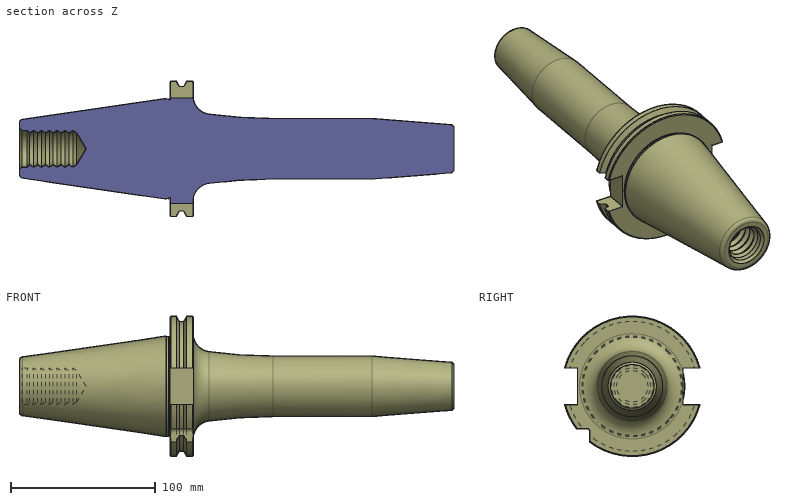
import cadquery as cq
import math

LENGTH = 301.5

GAUGE_X = 101.5
GAUGE_RADIUS = 35.0
TAPER_SLOPE = 3.5 / 24
END_ROUNDING = 2.7
LAND_RADIUS = 34.7
LAND_END = 103.5
RELIEF_RADIUS = 34.0
TAPER_END_RADIUS = GAUGE_RADIUS - GAUGE_X * TAPER_SLOPE

FLANGE_START = 104.7
FLANGE_END = 120.5
FLANGE_DIAMETER = 97.5
FLANGE_RADIUS = FLANGE_DIAMETER / 2
FLANGE_CHAMFER = 0.5
GROOVE_X = 112.5
GROOVE_DEPTH = 3.5
GROOVE_MOUTH = 7.2
GROOVE_FLOOR = GROOVE_MOUTH - 2 * GROOVE_DEPTH * math.tan(math.radians(30))

NECK_X = 131.5
NECK_RADIUS = 24.0
NECK_SLOPE = 7.5
SHANK_X = 175.8
SHANK_RADIUS = 21.0
NOSE_X = 244.5
NOSE_ANGLE = 4.5
NOSE_CHAMFER = 1.5
NOSE_END_RADIUS = SHANK_RADIUS - (LENGTH - NOSE_X) * math.tan(math.radians(NOSE_ANGLE))

SLOT_WIDTH = 25.3
SLOT_FLOOR_BACK = 35.3
SLOT_FLOOR_FRONT = 38.0
NOTCH_OFFSET = 29.5
NOTCH_FILLET = 1.5

BORE_MOUTH_RADIUS = 14.5
THREAD_ROOT_RADIUS = 12.7
THREAD_CREST_RADIUS = 11.0
BORE_CHAMFER = BORE_MOUTH_RADIUS - THREAD_ROOT_RADIUS
COUNTERBORE_DEPTH = 5.5
THREAD_START = COUNTERBORE_DEPTH + THREAD_ROOT_RADIUS - THREAD_CREST_RADIUS
THREAD_PITCH = 5.5
THREAD_TURNS = 6
DRILL_POINT_ANGLE = 118


def revolve_about_x(profile):
    return profile.close().revolve(360, (0, 0, 0), (1, 0, 0))


def make_body():
    flange_rim = FLANGE_RADIUS - FLANGE_CHAMFER
    groove_radius = FLANGE_RADIUS - GROOVE_DEPTH
    slope = math.radians(NECK_SLOPE)
    flare_radius = (NECK_X - FLANGE_END) / (1 - math.sin(slope))
    flare_center_x = FLANGE_END + flare_radius
    flare_center_radius = NECK_RADIUS + flare_radius * math.cos(slope)
    half_turn = (math.pi / 2 - slope) / 2
    flare_middle = (
        flare_center_x - flare_radius * math.cos(half_turn),
        flare_center_radius - flare_radius * math.sin(half_turn),
    )
    neck_direction = (math.cos(slope), -math.sin(slope))
    profile = (
        cq.Workplane("XY")
        .lineTo(0, TAPER_END_RADIUS)
        .lineTo(GAUGE_X, GAUGE_RADIUS)
        .lineTo(GAUGE_X + GAUGE_RADIUS - LAND_RADIUS, LAND_RADIUS)
        .lineTo(LAND_END, LAND_RADIUS)
        .lineTo(LAND_END + LAND_RADIUS - RELIEF_RADIUS, RELIEF_RADIUS)
        .lineTo(FLANGE_START, RELIEF_RADIUS)
        .lineTo(FLANGE_START, flange_rim)
        .lineTo(FLANGE_START + FLANGE_CHAMFER, FLANGE_RADIUS)
        .lineTo(GROOVE_X - GROOVE_MOUTH / 2, FLANGE_RADIUS)
        .lineTo(GROOVE_X - GROOVE_FLOOR / 2, groove_radius)
        .lineTo(GROOVE_X + GROOVE_FLOOR / 2, groove_radius)
        .lineTo(GROOVE_X + GROOVE_MOUTH / 2, FLANGE_RADIUS)
        .lineTo(FLANGE_END - FLANGE_CHAMFER, FLANGE_RADIUS)
        .lineTo(FLANGE_END, flange_rim)
        .lineTo(FLANGE_END, flare_center_radius)
        .threePointArc(flare_middle, (NECK_X, NECK_RADIUS))
        .spline([(SHANK_X, SHANK_RADIUS)], tangents=[neck_direction, (1, 0)], includeCurrent=True)
        .lineTo(NOSE_X, SHANK_RADIUS)
        .lineTo(LENGTH, NOSE_END_RADIUS)
        .lineTo(LENGTH, 0)
    )
    body = revolve_about_x(profile)
    body = body.faces("<X").edges().fillet(END_ROUNDING)
    return body.faces(">X").edges().chamfer(NOSE_CHAMFER)


def flange_block(y_start, y_end, z_start, z_end):
    """Box over the full flange thickness between the given Y and Z limits."""
    thickness = FLANGE_END - FLANGE_START
    block = cq.Workplane("XY").box(thickness, y_end - y_start, z_end - z_start, centered=False)
    return block.translate((FLANGE_START, y_start, z_start))


def make_flange_cutouts():
    beyond = FLANGE_DIAMETER
    half_slot = SLOT_WIDTH / 2
    back_slot = flange_block(SLOT_FLOOR_BACK, beyond, -half_slot, half_slot)
    front_slot = flange_block(-beyond, -SLOT_FLOOR_FRONT, -half_slot, half_slot)
    notch = flange_block(-beyond, -NOTCH_OFFSET, -beyond, -NOTCH_OFFSET)
    notch = notch.edges("|X and >Y and >Z").fillet(NOTCH_FILLET)
    return back_slot.union(front_slot).union(notch)


def make_bore():
    """Blind hole with ring-shaped thread grooves and a conical drill point."""
    profile = (
        cq.Workplane("XY")
        .lineTo(0, BORE_MOUTH_RADIUS)
        .lineTo(BORE_CHAMFER, THREAD_ROOT_RADIUS)
        .lineTo(COUNTERBORE_DEPTH, THREAD_ROOT_RADIUS)
        .lineTo(THREAD_START, THREAD_CREST_RADIUS)
    )
    for turn in range(THREAD_TURNS):
        turn_start = THREAD_START + turn * THREAD_PITCH
        profile = (
            profile.lineTo(turn_start + THREAD_PITCH / 2, THREAD_ROOT_RADIUS)
            .lineTo(turn_start + THREAD_PITCH, THREAD_CREST_RADIUS)
        )
    thread_end = THREAD_START + THREAD_TURNS * THREAD_PITCH
    point_length = THREAD_CREST_RADIUS / math.tan(math.radians(DRILL_POINT_ANGLE / 2))
    return revolve_about_x(profile.lineTo(thread_end + point_length, 0))


result = make_body().cut(make_flange_cutouts()).cut(make_bore())